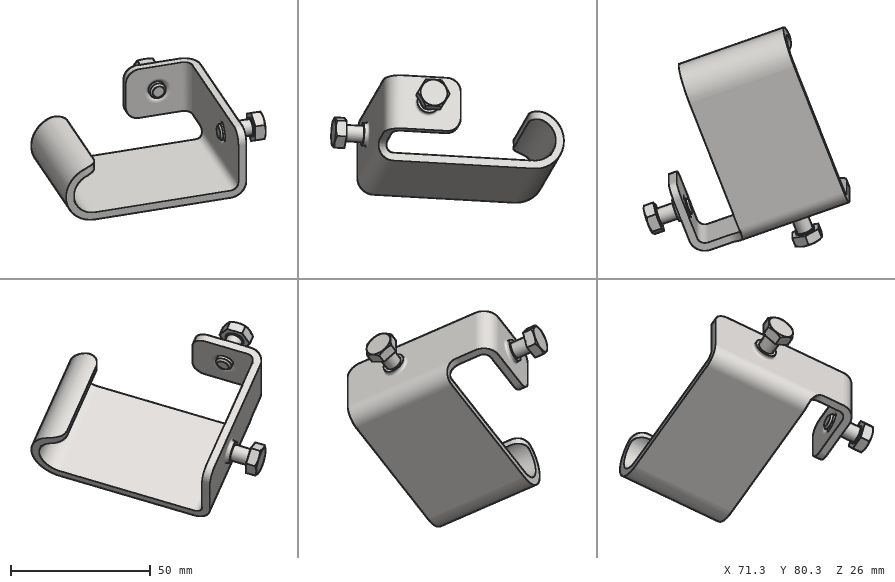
import cadquery as cq
import math


thickness = 3.0
bend_inner = 3.0
bend_outer = bend_inner + thickness
neutral_depth = 1.0
corner_radius = 5.0

bracket_length = 59.0
bracket_depth = 68.0
wall_bottom = bend_outer
wall_height = 20.0
tab_depth = 27.0
tray_width = 40.0
tray_left = bracket_length - tray_width

hook_inner = 8.0
hook_outer = hook_inner + thickness
hook_y = hook_outer - bracket_depth
hook_lip = 1.0

screw_diameter = 6.0
screw_radius = screw_diameter / 2
collar_radius = 4.1
collar_height = 1.7
collar_base_fillet = 0.85
mouth_radius = 2.0

screw_length = 12.0
screw_tip_chamfer = 0.8
underhead_gap = 8.0
head_flats = 10.0
head_height = 4.0
head_face_diameter = 9.7
head_chamfer_angle = math.radians(30)
washer_face_diameter = 7.0
washer_face_height = 0.3
screw_z = wall_bottom + wall_height / 2
side_screw_y = -15.0
back_screw_x = 39.0

curve_steps = 12
cutter_inner = 1.0
cutter_margin = 2.0


def outward_plane(origin, x_direction, normal):
    """Plane on the outer sheet face, at a screw axis, facing outward."""
    return cq.Plane(origin=origin, xDir=x_direction, normal=normal)


screw_planes = [
    outward_plane((0, side_screw_y, screw_z), (0, 1, 0), (-1, 0, 0)),
    outward_plane((back_screw_x, 0, screw_z), (0, 0, 1), (0, 1, 0)),
]


def make_walls():
    """Side tab and back plate, joined by a vertical bend."""
    diagonal = math.sqrt(0.5)
    outer_mid = bend_outer * (1 - diagonal)
    inner_mid = bend_outer - bend_inner * diagonal
    walls = (
        cq.Workplane("XY")
        .workplane(offset=wall_bottom)
        .moveTo(0, -tab_depth)
        .lineTo(0, -bend_outer)
        .threePointArc((outer_mid, -outer_mid), (bend_outer, 0))
        .lineTo(bracket_length, 0)
        .lineTo(bracket_length, -thickness)
        .lineTo(bend_outer, -thickness)
        .threePointArc((inner_mid, -inner_mid), (thickness, -bend_outer))
        .lineTo(thickness, -tab_depth)
        .close()
        .extrude(wall_height)
    )
    walls = walls.edges("|X and <Y").fillet(corner_radius)
    return walls.edges("|Y and >X and >Z").fillet(corner_radius)


def make_bend(left, right, bend_angle):
    """Bend from the back plate's lower edge down toward the tray, between two X positions."""

    def bend_point(radius, angle):
        return radius * math.cos(angle) - bend_outer, wall_bottom - radius * math.sin(angle)

    return (
        cq.Workplane("YZ")
        .workplane(offset=left)
        .moveTo(*bend_point(bend_outer, 0))
        .threePointArc(bend_point(bend_outer, bend_angle / 2), bend_point(bend_outer, bend_angle))
        .lineTo(*bend_point(bend_inner, bend_angle))
        .threePointArc(bend_point(bend_inner, bend_angle / 2), bend_point(bend_inner, 0))
        .close()
        .extrude(right - left)
    )


def make_tray():
    """Flat tray running into the half-round hook and its short straight lip."""
    hook_top = 2 * hook_outer
    return (
        cq.Workplane("YZ")
        .workplane(offset=tray_left)
        .moveTo(-bend_outer, 0)
        .lineTo(hook_y, 0)
        .threePointArc((-bracket_depth, hook_outer), (hook_y, hook_top))
        .lineTo(hook_y + hook_lip, hook_top)
        .lineTo(hook_y + hook_lip, hook_top - thickness)
        .lineTo(hook_y, hook_top - thickness)
        .threePointArc((hook_y - hook_inner, hook_outer), (hook_y, thickness))
        .lineTo(-bend_outer, thickness)
        .close()
        .extrude(tray_width)
    )


def make_corner_cutter(point_at, outer_radius, side_x):
    """Cutter between a corner curve wrapped round a bend and the plane X = side_x.

    point_at(turn, radius) gives the curve at one bend radius, with turn from 0 to a quarter turn.
    Each section is a flat rectangle along a radius of the bend, so the cut edge stays square to the sheet.
    """
    sections = []
    for step in range(curve_steps + 1):
        turn = math.pi / 2 * step / curve_steps
        x, inner_y, inner_z = point_at(turn, cutter_inner)
        _, outer_y, outer_z = point_at(turn, outer_radius)
        corners = [
            cq.Vector(x, inner_y, inner_z),
            cq.Vector(x, outer_y, outer_z),
            cq.Vector(side_x, outer_y, outer_z),
            cq.Vector(side_x, inner_y, inner_z),
        ]
        sections.append(cq.Wire.makePolygon(corners, close=True))
    return cq.Workplane(cq.Solid.makeLoft(sections))


def bend_relief_point(turn, radius):
    """Concave corner between the back plate's lower edge and the tray's left edge."""
    distance = corner_radius * (1 - math.cos(turn))
    angle = distance / (bend_inner + neutral_depth)
    return (
        tray_left - corner_radius * (1 - math.sin(turn)),
        radius * math.cos(angle) - bend_outer,
        wall_bottom - radius * math.sin(angle),
    )


def hook_corner_point(turn, radius):
    """Convex left corner of the hook's free end."""
    from_lip = corner_radius * (1 - math.sin(turn)) - hook_lip
    x = tray_left + corner_radius * (1 - math.cos(turn))
    if from_lip <= 0:
        return x, hook_y - from_lip, hook_outer + radius
    angle = from_lip / (hook_inner + neutral_depth)
    return x, hook_y - radius * math.sin(angle), hook_outer + radius * math.cos(angle)


def make_web():
    """Concave web that widens the tray's bend toward the back plate."""
    web_angle = corner_radius / (bend_inner + neutral_depth)
    web = make_bend(tray_left - corner_radius, tray_left, web_angle)
    cutter_side = tray_left - corner_radius - cutter_margin
    return web.cut(make_corner_cutter(bend_relief_point, bend_outer + cutter_margin, cutter_side))


def make_bracket():
    tray_bend = make_bend(tray_left, bracket_length, math.pi / 2)
    bracket = make_walls().union(tray_bend).union(make_tray()).union(make_web())

    cutter_side = tray_left - cutter_margin
    left_cutter = make_corner_cutter(hook_corner_point, hook_outer + cutter_margin, cutter_side)
    right_cutter = left_cutter.mirror("YZ", (tray_left + tray_width / 2, 0, 0))
    bracket = bracket.cut(left_cutter).cut(right_cutter)

    for plane in screw_planes:
        bracket = bracket.union(make_collar(plane)).cut(make_bore(plane))
    return bracket


def revolve_about_axis(sketch):
    """Full turn of a closed (radius, height) outline about its height axis."""
    return sketch.close().revolve(360, (0, 0, 0), (0, 1, 0))


def radial_plane(plane):
    """Half-section plane: local X is the radius, local Y the outward screw axis."""
    return cq.Plane(origin=plane.origin, xDir=plane.xDir, normal=plane.xDir.cross(plane.zDir))


def make_collar(plane):
    slant = collar_base_fillet * (1 - math.sqrt(0.5))
    return revolve_about_axis(
        cq.Workplane(radial_plane(plane))
        .moveTo(0, 0)
        .lineTo(collar_radius + collar_base_fillet, 0)
        .threePointArc((collar_radius + slant, slant), (collar_radius, collar_base_fillet))
        .lineTo(collar_radius, collar_height)
        .lineTo(0, collar_height)
    )


def make_bore(plane):
    slant = mouth_radius * (1 - math.sqrt(0.5))
    return revolve_about_axis(
        cq.Workplane(radial_plane(plane))
        .moveTo(0, -thickness)
        .lineTo(screw_radius + mouth_radius, -thickness)
        .threePointArc(
            (screw_radius + slant, slant - thickness),
            (screw_radius, mouth_radius - thickness),
        )
        .lineTo(screw_radius, collar_height)
        .lineTo(0, collar_height)
    )


def make_screw(plane):
    """Hexagon screw with a washer face, its tip just past the inner face of the sheet."""
    head_corners = head_flats / math.cos(math.pi / 6)
    head_base = underhead_gap + washer_face_height
    head_top = head_base + head_height
    face_radius = head_face_diameter / 2
    cone_drop = (head_corners - face_radius) * math.tan(head_chamfer_angle)

    head = cq.Workplane(plane).workplane(offset=head_base).polygon(6, head_corners).extrude(head_height)
    cone = revolve_about_axis(
        cq.Workplane(radial_plane(plane))
        .moveTo(0, head_base)
        .lineTo(head_corners, head_base)
        .lineTo(head_corners, head_top - cone_drop)
        .lineTo(face_radius, head_top)
        .lineTo(0, head_top)
    )
    tip = underhead_gap - screw_length
    shank = revolve_about_axis(
        cq.Workplane(radial_plane(plane))
        .moveTo(0, tip)
        .lineTo(screw_radius - screw_tip_chamfer, tip)
        .lineTo(screw_radius, tip + screw_tip_chamfer)
        .lineTo(screw_radius, underhead_gap)
        .lineTo(washer_face_diameter / 2, underhead_gap)
        .lineTo(washer_face_diameter / 2, head_base)
        .lineTo(0, head_base)
    )
    return head.intersect(cone).union(shank)


bracket = make_bracket()
screws = [make_screw(plane) for plane in screw_planes]

result = cq.Compound.makeCompound([bracket.val(), *[screw.val() for screw in screws]])